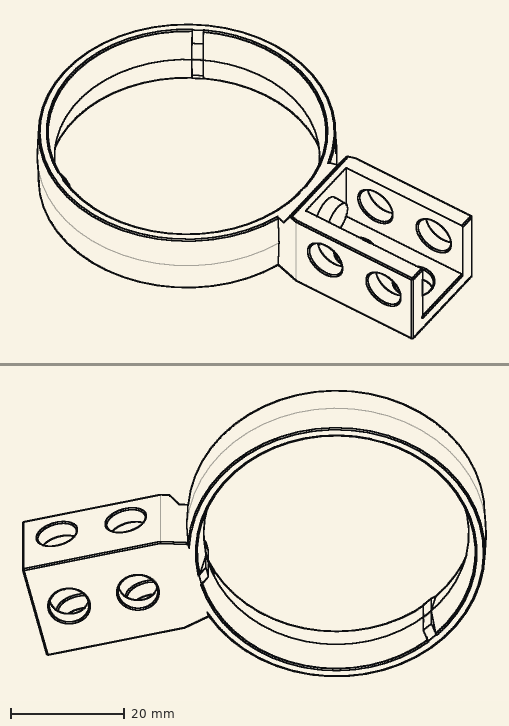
import cadquery as cq
import math

pitch = 12.5
wall = pitch / 4
edge_chamfer = 0.25

ring_height = pitch
outer_radius_mid = 26.5
outer_radius_end = 26.25
inner_radius_mid = 23.4
inner_radius_end = 24.6

bracket_width = 1.5 * pitch
bracket_height = ring_height + wall
bracket_end_x = 54.75
bracket_length = 2 * pitch
channel_start_x = bracket_end_x - bracket_length
channel_clearance = 0.1
channel_width = pitch + channel_clearance
side_wall = (bracket_width - channel_width) / 2
hole_diameter = 7.0
hole_chamfer = 0.25
hole_xs = [channel_start_x + pitch / 2, channel_start_x + 3 * pitch / 2]
hole_z = wall + pitch / 2

neck_flare_angle = 16.0
neck_start_x = 24.8
slope_start_x = 26.5
slope_angle = 60.0

peg_root_diameter = 6.5
peg_tip_diameter = 6.2
peg_length = 2.5

rib_count = 3
rib_width = 2.0
rib_inner_radius = 23.43
rib_height = 8.2
rib_end_angle = 60.0


def crowned_disc(mid_radius, end_radius):
    """Solid of two cones meeting at their common mid-height circle."""
    return (
        cq.Workplane("XZ")
        .moveTo(0, 0)
        .lineTo(end_radius, 0)
        .lineTo(mid_radius, ring_height / 2)
        .lineTo(end_radius, ring_height)
        .lineTo(0, ring_height)
        .close()
        .revolve(360, (0, 0, 0), (0, 1, 0))
    )


def make_bore():
    """Waisted opening of the ring, with chamfered mouths."""
    bore = crowned_disc(inner_radius_mid, inner_radius_end)
    mouth_radius = inner_radius_end + edge_chamfer
    mouth = cq.Solid.makeCone(mouth_radius, inner_radius_end, edge_chamfer)
    top_mouth = mouth.mirror("XY").translate(cq.Vector(0, 0, ring_height))
    return bore.union(cq.Workplane(mouth)).union(cq.Workplane(top_mouth))


def make_ribs():
    """Axial ribs on the ring's inside, evenly spaced from the bracket."""
    rib_root_radius = (inner_radius_end + outer_radius_end) / 2
    end_rise = (rib_root_radius - rib_inner_radius) * math.tan(math.radians(rib_end_angle))
    half_height = rib_height / 2
    rib = (
        cq.Workplane("XZ", origin=(0, 0, ring_height / 2))
        .moveTo(rib_inner_radius, -half_height)
        .lineTo(rib_root_radius, -half_height - end_rise)
        .lineTo(rib_root_radius, half_height + end_rise)
        .lineTo(rib_inner_radius, half_height)
        .close()
        .extrude(rib_width / 2, both=True)
    )
    ribs = cq.Workplane("XY")
    for i in range(rib_count):
        ribs = ribs.add(rib.rotate((0, 0, 0), (0, 0, 1), i * 360 / rib_count))
    return ribs.combine().intersect(cq.Workplane("XY").circle(outer_radius_end).extrude(ring_height))


def make_bracket():
    """Neck and bracket block, with the channel cut between its side walls."""
    neck_length = channel_start_x - neck_start_x
    half_width = bracket_width / 2
    neck_half_width = half_width - neck_length * math.tan(math.radians(neck_flare_angle))
    plan = [
        (neck_start_x, -neck_half_width),
        (channel_start_x, -half_width),
        (bracket_end_x, -half_width),
        (bracket_end_x, half_width),
        (channel_start_x, half_width),
        (neck_start_x, neck_half_width),
    ]
    block = cq.Workplane("XY").polyline(plan).close().extrude(bracket_height)
    slope_end_x = slope_start_x + wall / math.tan(math.radians(slope_angle))
    step = (
        cq.Workplane("XZ")
        .moveTo(0, ring_height)
        .lineTo(slope_start_x, ring_height)
        .lineTo(slope_end_x, bracket_height)
        .lineTo(slope_end_x, bracket_height + wall)
        .lineTo(0, bracket_height + wall)
        .close()
        .extrude(bracket_width, both=True)
    )
    channel = (
        cq.Workplane("XZ")
        .moveTo(channel_start_x, wall)
        .lineTo(bracket_end_x - edge_chamfer, wall)
        .lineTo(bracket_end_x, wall - edge_chamfer)
        .lineTo(bracket_end_x, bracket_height)
        .lineTo(channel_start_x, bracket_height)
        .close()
        .extrude(channel_width / 2, both=True)
    )
    return block.cut(step).faces(">X or >Z or <Z").chamfer(edge_chamfer).cut(channel)


def hole_cutter(length):
    """Hole along +Z from the origin, widened by a chamfer at both mouths."""
    radius = hole_diameter / 2
    cutter = cq.Workplane("XY").circle(radius).extrude(length)
    mouth = cq.Workplane(cq.Solid.makeCone(radius + hole_chamfer, radius, hole_chamfer))
    return cutter.union(mouth).union(mouth.mirror("XY").translate((0, 0, length)))


def cut_holes(body):
    """Holes through the floor and through each side wall."""
    floor_cutter = hole_cutter(wall)
    side_cutter = hole_cutter(side_wall).rotate((0, 0, 0), (1, 0, 0), 90)
    for x in hole_xs:
        body = body.cut(floor_cutter.translate((x, 0, 0)))
        for outer_y in (bracket_width / 2, side_wall - bracket_width / 2):
            body = body.cut(side_cutter.translate((x, outer_y, hole_z)))
    return body


def make_peg():
    """Slightly tapered peg pointing along +X into the channel."""
    peg = cq.Solid.makeCone(
        peg_root_diameter / 2,
        peg_tip_diameter / 2,
        peg_length,
        pnt=cq.Vector(channel_start_x, 0, hole_z),
        dir=cq.Vector(1, 0, 0),
    )
    return cq.Workplane(peg)


band = crowned_disc(outer_radius_mid, outer_radius_end).faces("<Z or >Z").chamfer(edge_chamfer)
body = band.union(make_bracket()).cut(make_bore()).union(make_ribs())
result = cut_holes(body).union(make_peg())